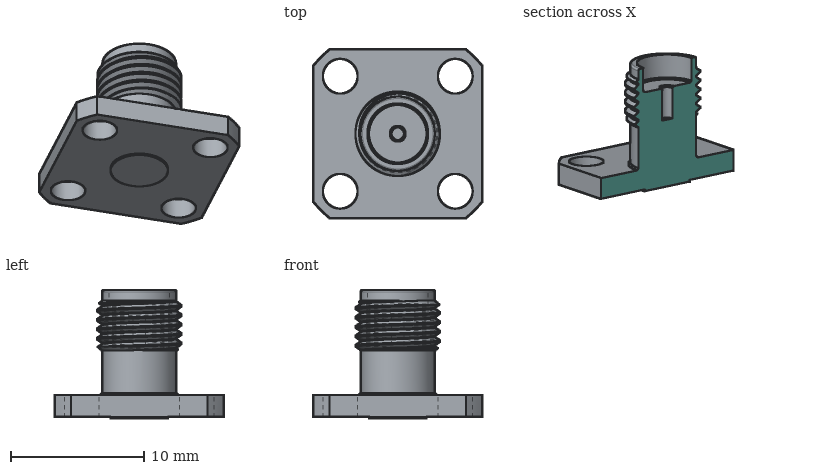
import cadquery as cq
import math

FLANGE_SIDE = 12.7
FLANGE_THICKNESS = 1.65
FLANGE_CORNER_DIAMETER = 16.3
MOUNT_HOLE_DIAMETER = 2.59
MOUNT_HOLE_SPACING = 8.64

TOTAL_HEIGHT = 9.65
INSULATOR_DIAMETER = 4.32
INSULATOR_PROTRUSION = 0.13
BARREL_DIAMETER = 5.58
BARREL_HEIGHT = TOTAL_HEIGHT - INSULATOR_PROTRUSION - FLANGE_THICKNESS
BARREL_TOP = FLANGE_THICKNESS + BARREL_HEIGHT
BARREL_RIM_FILLET = 0.14
BARREL_FOOT_CHAMFER = 0.14

THREAD_MAJOR_DIAMETER = 6.35
INCH = 25.4
THREADS_PER_INCH = 36
THREAD_PITCH = INCH / THREADS_PER_INCH
THREAD_TOP = BARREL_TOP - 0.80
THREAD_BOTTOM = BARREL_TOP - 4.56
THREAD_LENGTH = THREAD_TOP - THREAD_BOTTOM
THREAD_DEPTH = (THREAD_MAJOR_DIAMETER - BARREL_DIAMETER) / 2
THREAD_END_BEVEL_HEIGHT = 0.33
THREAD_CREST_WIDTH = 0.10
THREAD_FLANK_ANGLE = 35
THREAD_SPARE_TURNS = 3
THREAD_ROOT_OVERLAP = 0.03
THREAD_PHASE_HEIGHT = 0.02

SOCKET_DIAMETER = 4.57
SOCKET_FLOOR_DEPTH = 1.90
SOCKET_FLOOR_CHAMFER = (SOCKET_DIAMETER - INSULATOR_DIAMETER) / 2
CONTACT_HOLE_DIAMETER = 0.94
CONTACT_HOLE_MOUTH_DIAMETER = 1.19
CONTACT_HOLE_DEPTH = 2.5


def revolved(outline):
    """Turn a closed (radius, height) outline around the Z axis."""
    return cq.Workplane("XZ").polyline(outline).close().revolve(360, (0, 0), (0, 1))


def make_flange():
    """Square plate with turned corners and four mounting holes, underside at Z = 0."""
    plate = cq.Workplane("XY").rect(FLANGE_SIDE, FLANGE_SIDE).extrude(FLANGE_THICKNESS)
    turned_disc = cq.Workplane("XY").circle(FLANGE_CORNER_DIAMETER / 2).extrude(FLANGE_THICKNESS)
    holes = (
        cq.Workplane("XY")
        .rect(MOUNT_HOLE_SPACING, MOUNT_HOLE_SPACING, forConstruction=True)
        .vertices()
        .circle(MOUNT_HOLE_DIAMETER / 2)
        .extrude(FLANGE_THICKNESS)
    )
    return plate.intersect(turned_disc).cut(holes)


def make_insulator_end():
    """Low round boss under the flange."""
    return cq.Workplane("XY").circle(INSULATOR_DIAMETER / 2).extrude(-INSULATOR_PROTRUSION)


def make_barrel():
    """Plain round barrel with a rounded rim and a bevelled foot."""
    radius = BARREL_DIAMETER / 2
    barrel = (
        cq.Workplane("XY")
        .circle(radius)
        .extrude(BARREL_TOP)
        .faces(">Z")
        .edges()
        .fillet(BARREL_RIM_FILLET)
    )
    foot = revolved([
        (0, FLANGE_THICKNESS),
        (radius + BARREL_FOOT_CHAMFER, FLANGE_THICKNESS),
        (radius, FLANGE_THICKNESS + BARREL_FOOT_CHAMFER),
        (0, FLANGE_THICKNESS + BARREL_FOOT_CHAMFER),
    ])
    return barrel.union(foot)


def make_thread():
    """Helical ridge, trimmed to a blank bevelled at both ends."""
    minor_radius = BARREL_DIAMETER / 2
    major_radius = THREAD_MAJOR_DIAMETER / 2
    root_radius = minor_radius - THREAD_ROOT_OVERLAP
    crest_half = THREAD_CREST_WIDTH / 2
    flank_run = (THREAD_DEPTH + THREAD_ROOT_OVERLAP) * math.tan(math.radians(THREAD_FLANK_ANGLE))
    root_half = crest_half + flank_run
    start = THREAD_BOTTOM + THREAD_PHASE_HEIGHT - THREAD_PITCH
    sweep_height = THREAD_LENGTH + THREAD_SPARE_TURNS * THREAD_PITCH

    path = cq.Wire.makeHelix(THREAD_PITCH, sweep_height, minor_radius, center=cq.Vector(0, 0, start))
    ridge = (
        cq.Workplane("XZ")
        .polyline([
            (root_radius, start - root_half),
            (major_radius, start - crest_half),
            (major_radius, start + crest_half),
            (root_radius, start + root_half),
        ])
        .close()
        .sweep(cq.Workplane(path), isFrenet=True)
    )
    blank = revolved([
        (0, THREAD_BOTTOM),
        (minor_radius, THREAD_BOTTOM),
        (major_radius, THREAD_BOTTOM + THREAD_END_BEVEL_HEIGHT),
        (major_radius, THREAD_TOP - THREAD_END_BEVEL_HEIGHT),
        (minor_radius, THREAD_TOP),
        (0, THREAD_TOP),
    ])
    return ridge.intersect(blank)


def make_socket():
    """Open bore with a bevelled floor edge, and the blind contact hole below it."""
    floor = BARREL_TOP - SOCKET_FLOOR_DEPTH
    hole_radius = CONTACT_HOLE_DIAMETER / 2
    mouth_radius = CONTACT_HOLE_MOUTH_DIAMETER / 2
    mouth_bevel = mouth_radius - hole_radius
    return revolved([
        (0, BARREL_TOP),
        (SOCKET_DIAMETER / 2, BARREL_TOP),
        (SOCKET_DIAMETER / 2, floor + SOCKET_FLOOR_CHAMFER),
        (INSULATOR_DIAMETER / 2, floor),
        (mouth_radius, floor),
        (hole_radius, floor - mouth_bevel),
        (hole_radius, floor - CONTACT_HOLE_DEPTH),
        (0, floor - CONTACT_HOLE_DEPTH),
    ])


body = make_flange().union(make_insulator_end()).union(make_barrel())
result = body.union(make_thread()).cut(make_socket())